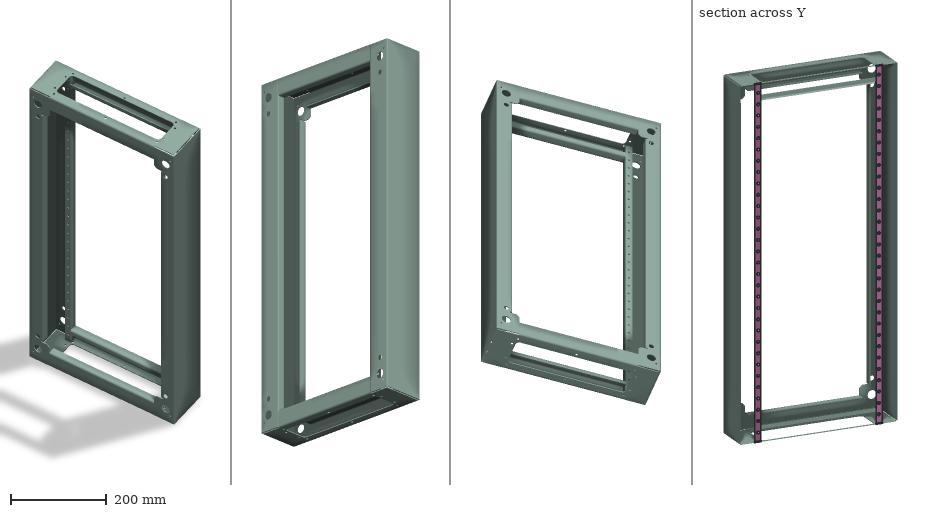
import cadquery as cq

import math

WIDTH = 364.0
DEPTH = 100.0
HEIGHT = 794.0

SHEET = 2.0
PANEL_BEND = 2.15
PLATE_BEND = 4.0
PAST = 1.0

OPENING_HALF_WIDTH = 132.0
FRONT_STRIP = 34.0
FRONT_RETURN = 17.0
RAIL_DEPTH = 18.0
RAIL_WIDTH = 15.0
GUSSET_LENGTH = 61.0
GUSSET_CHAMFER = 6.0
RELIEF_WIDTH = 2.0
RELIEF_LENGTH = 3.0

CORNER_HOLE_INSET = 21.5
LARGE_HOLE_DIAMETER = 20.0
LARGE_HOLE_FROM_END = 36.5
MEDIUM_HOLE_DIAMETER = 11.0
MEDIUM_HOLE_FROM_END = 73.0
SMALL_HOLE_DIAMETER = 4.0
SMALL_HOLE_INSET = 10.0
SMALL_HOLE_FROM_END = 21.5
RAIL_HOLE_DIAMETER = 5.0
RAIL_HOLE_COUNT = 31
RAIL_HOLE_SPAN = 750.0
RAIL_HOLE_INSET = 7.0

PLATE_INSET = 3.0
FLANGE_HEIGHT = 40.0
FRONT_LIP_WIDTH = 17.0
REAR_LIP_WIDTH = 21.0
REAR_LIP_RETURN = 12.0
WINDOW_WIDTH = 260.5
WINDOW_FRONT = -28.5
WINDOW_REAR = 31.0
WINDOW_RADIUS = 8.0
PLATE_HOLE_DIAMETER = 5.0
EDGE_HOLE_X = 129.5
EDGE_HOLE_Y = 36.0
END_HOLE_X = 137.0
END_HOLE_Y = 20.0

half_width = WIDTH / 2
half_depth = DEPTH / 2
half_height = HEIGHT / 2
panel_half_height = half_height - SHEET
strip_edge = FRONT_STRIP - half_width
gusset_z = half_height - GUSSET_LENGTH


def box(x_range, y_range, z_range):
    """Block given by its limits along each axis."""
    ranges = (x_range, y_range, z_range)
    sizes = [abs(high - low) for low, high in ranges]
    centre = tuple((low + high) / 2 for low, high in ranges)
    return cq.Workplane("XY").box(*sizes).translate(centre)


def offset_path(path, distance):
    """Copy of a square-cornered open path, moved to its left by the distance."""
    headings = []
    for (x0, y0), (x1, y1) in zip(path, path[1:]):
        length = math.hypot(x1 - x0, y1 - y0)
        headings.append(((x1 - x0) / length, (y1 - y0) / length))

    moved = []
    for index, (x, y) in enumerate(path):
        sides = {headings[max(index - 1, 0)], headings[min(index, len(headings) - 1)]}
        shift_x = -sum(side[1] for side in sides) * distance
        shift_y = sum(side[0] for side in sides) * distance
        moved.append((x + shift_x, y + shift_y))
    return moved


def folded_sheet(plane, path, bend, half_length):
    """Sheet whose outer faces follow a path that always turns left, folded with the outer bend radius."""
    inner = offset_path(path, SHEET)
    sheet = cq.Workplane(plane).polyline(path + inner[::-1]).close().extrude(half_length, both=True)
    along = "|" + {"XY": "Z", "YZ": "X"}[plane]
    for corners, radius in ((path, bend), (inner, bend - SHEET)):
        for corner in corners[1:-1]:
            point = cq.Plane.named(plane).toWorldCoords(corner)
            sheet = sheet.edges(along).edges(cq.NearestToPointSelector(point.toTuple())).fillet(radius)
    return sheet


def drill_along_y(body, diameter, points, y_range):
    """Round holes at the given (x, z) points, between two depths."""
    plane = cq.Workplane("XZ", origin=(0, y_range[1], 0))
    return body.cut(plane.pushPoints(points).circle(diameter / 2).extrude(y_range[1] - y_range[0]))


def gusset(end):
    """Wide, chamfered part of the front flange at one end of a panel (end is 1 or -1)."""
    root = strip_edge - PANEL_BEND
    outline = [
        (root, end * panel_half_height),
        (-OPENING_HALF_WIDTH, end * panel_half_height),
        (-OPENING_HALF_WIDTH, end * (gusset_z + GUSSET_CHAMFER)),
        (-OPENING_HALF_WIDTH - GUSSET_CHAMFER, end * gusset_z),
        (root, end * gusset_z),
    ]
    return cq.Workplane("XZ", origin=(0, -half_depth, 0)).polyline(outline).close().extrude(-SHEET)


def left_panel():
    """Side panel with a front flange, a rear flange and a mounting rail folded from the rear flange."""
    section = [
        (-OPENING_HALF_WIDTH - RAIL_WIDTH, half_depth - RAIL_DEPTH),
        (-OPENING_HALF_WIDTH, half_depth - RAIL_DEPTH),
        (-OPENING_HALF_WIDTH, half_depth),
        (-half_width, half_depth),
        (-half_width, -half_depth),
        (strip_edge, -half_depth),
        (strip_edge, FRONT_RETURN - half_depth),
    ]
    panel = folded_sheet("XY", section, PANEL_BEND, panel_half_height)

    for end in (1, -1):
        panel = panel.cut(box(
            (strip_edge - PANEL_BEND, strip_edge + PAST),
            (-half_depth - PAST, FRONT_RETURN - half_depth + PAST),
            (end * gusset_z, end * half_height),
        ))
        panel = panel.union(gusset(end))
        panel = panel.cut(box(
            (strip_edge - PANEL_BEND - RELIEF_WIDTH, strip_edge),
            (-half_depth - PAST, FRONT_RETURN - half_depth + PAST),
            (end * gusset_z, end * (gusset_z - RELIEF_LENGTH)),
        ))

    for diameter, inset, from_end in (
        (LARGE_HOLE_DIAMETER, CORNER_HOLE_INSET, LARGE_HOLE_FROM_END),
        (MEDIUM_HOLE_DIAMETER, CORNER_HOLE_INSET, MEDIUM_HOLE_FROM_END),
        (SMALL_HOLE_DIAMETER, SMALL_HOLE_INSET, SMALL_HOLE_FROM_END),
    ):
        points = [(inset - half_width, end * (half_height - from_end)) for end in (1, -1)]
        panel = drill_along_y(panel, diameter, points, (-half_depth, half_depth))

    rail_x = -OPENING_HALF_WIDTH - RAIL_HOLE_INSET
    pitch = RAIL_HOLE_SPAN / (RAIL_HOLE_COUNT - 1)
    points = [(rail_x, index * pitch - RAIL_HOLE_SPAN / 2) for index in range(RAIL_HOLE_COUNT)]
    rail_front = half_depth - RAIL_DEPTH
    return drill_along_y(panel, RAIL_HOLE_DIAMETER, points, (rail_front, rail_front + SHEET))


def top_plate():
    """Cross plate over both panels, with a folded channel edge at the front and rear of the opening."""
    front = -half_depth
    flange_end = half_height - FLANGE_HEIGHT
    section = [
        (half_depth - REAR_LIP_WIDTH, flange_end + REAR_LIP_RETURN),
        (half_depth - REAR_LIP_WIDTH, flange_end),
        (half_depth, flange_end),
        (half_depth, half_height),
        (front, half_height),
        (front, flange_end),
        (front + FRONT_LIP_WIDTH, flange_end),
    ]
    plate = folded_sheet("YZ", section, PLATE_BEND, OPENING_HALF_WIDTH)
    for side in (1, -1):
        plate = plate.union(box(
            (side * OPENING_HALF_WIDTH, side * (half_width - PLATE_INSET)),
            (PLATE_INSET - half_depth, half_depth - PLATE_INSET),
            (panel_half_height, half_height),
        ))

    window = box(
        (-WINDOW_WIDTH / 2, WINDOW_WIDTH / 2),
        (WINDOW_FRONT, WINDOW_REAR),
        (panel_half_height - PAST, half_height + PAST),
    )
    plate = plate.cut(window.edges("|Z").fillet(WINDOW_RADIUS))

    edge_holes = [(x, y) for x in (-EDGE_HOLE_X, 0, EDGE_HOLE_X) for y in (-EDGE_HOLE_Y, EDGE_HOLE_Y)]
    end_holes = [(x, y) for x in (-END_HOLE_X, END_HOLE_X) for y in (-END_HOLE_Y, END_HOLE_Y)]
    drills = (
        cq.Workplane("XY", origin=(0, 0, panel_half_height))
        .pushPoints(edge_holes + end_holes)
        .circle(PLATE_HOLE_DIAMETER / 2)
        .extrude(SHEET)
    )
    return plate.cut(drills)


left_side = left_panel()
right_side = left_side.mirror("YZ")
top = top_plate()
bottom = top.mirror("XY")

result = cq.Compound.makeCompound([left_side.val(), right_side.val(), top.val(), bottom.val()])